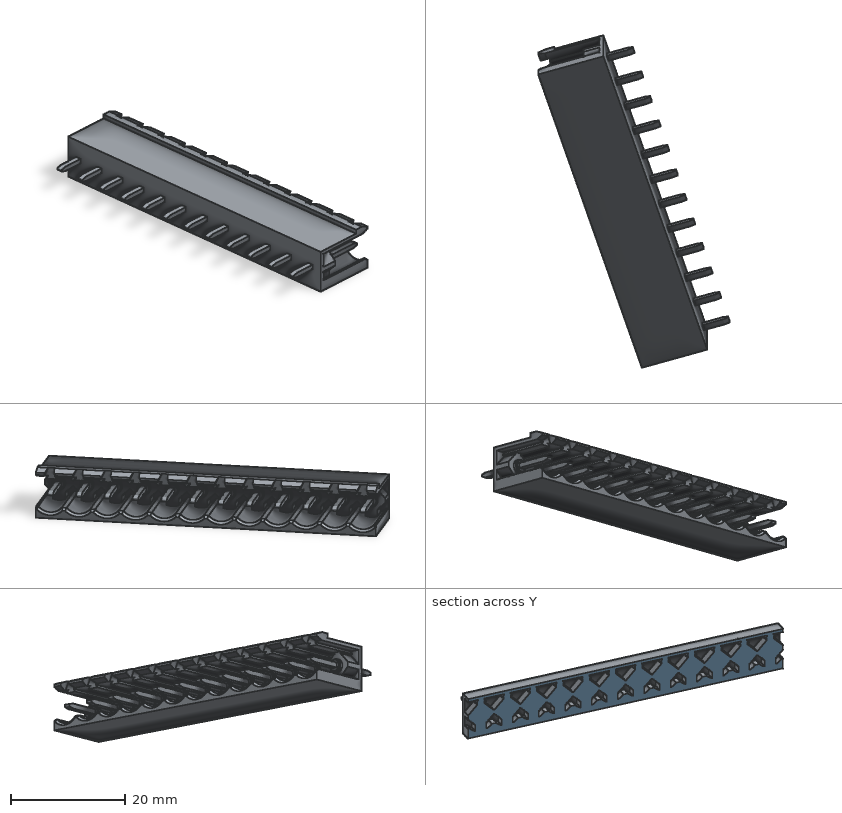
import cadquery as cq
import math


LENGTH = 60.85
DEPTH = 12.0
BACK_WALL = 0.75
FLOOR_Z = 2.0
CEILING_Z = 7.3
TOP_Z = 8.0
FLOOR_LEAD_IN = 0.45

LATCH_TOP_Z = 8.8
LATCH_DEPTH = 2.95
LATCH_NOSE_BOTTOM_Z = 7.84
LATCH_NOSE_TOP_Z = 8.26
LATCH_TOP_BEVEL = 1.45
LATCH_BOTTOM_BEVEL = 1.25

PIN_COUNT = 12
PITCH = 5.08
PIN_WIDTH = 1.05
PIN_HEIGHT = 0.9
PIN_Z = 4.23
PIN_TAIL = 4.8
PIN_FRONT_GAP = 0.6
PIN_TAPER_LENGTH = 0.95
PIN_TAPER_ANGLE = 15.0
PIN_TIP_ROUND = 0.15

COLLAR_RADIUS = 1.2
COLLAR_THICKNESS = 0.7
COLLAR_CHAMFER = 0.2

WEB_FRONT_Y = 3.7
WEB_WAIST_HEIGHT = 0.8
LOWER_STEM_HALF_WIDTH = 1.1
UPPER_STEM_HALF_WIDTH = 0.7

CHANNEL_RADIUS = 2.8
CHANNEL_AXIS_Z = 3.85

RIB_BOTTOM_Z = 6.75
RIB_BOTTOM_HALF_WIDTH = 1.0
RIB_FLANK_ANGLE = 36.0
NOTCH_DEPTH = 1.68
NOTCH_TOP_HALF_WIDTH = 0.56
NOTCH_FLANK_ANGLE = 25.0

OVERLAP = 0.1

PIN_POSITIONS = [(i - (PIN_COUNT - 1) / 2) * PITCH for i in range(PIN_COUNT)]


def tan_deg(angle):
    return math.tan(math.radians(angle))


def extrude_along_y(outline, y_start, y_end):
    """Extrude a closed XZ outline from y_start to y_end."""
    plane = cq.Workplane("XZ", origin=(0, y_start, 0))
    return plane.polyline(outline).close().extrude(y_start - y_end)


def mirrored_outline(right_side):
    """Close a list of right-hand (x, z) points with its mirror image about x = 0."""
    left_side = [(-x, z) for x, z in reversed(right_side)]
    return right_side + left_side


def at_every_pin(shape):
    """Repeat a shape centred on x = 0 at each pin."""
    copies = cq.Workplane("XY")
    for x in PIN_POSITIONS:
        copies = copies.add(shape.translate((x, 0, 0)).vals())
    return copies.combine()


def housing_shell():
    """C-shaped section with the latch hook, open at both ends."""
    outline = [
        (0, 0),
        (DEPTH, 0),
        (DEPTH, FLOOR_Z),
        (BACK_WALL, FLOOR_Z),
        (BACK_WALL, CEILING_Z),
        (DEPTH - LATCH_BOTTOM_BEVEL, CEILING_Z),
        (DEPTH, LATCH_NOSE_BOTTOM_Z),
        (DEPTH, LATCH_NOSE_TOP_Z),
        (DEPTH - LATCH_TOP_BEVEL, LATCH_TOP_Z),
        (DEPTH - LATCH_DEPTH, LATCH_TOP_Z),
        (DEPTH - LATCH_DEPTH, TOP_Z),
        (0, TOP_Z),
    ]
    plane = cq.Workplane("YZ", origin=(-LENGTH / 2, 0, 0))
    return plane.polyline(outline).close().extrude(LENGTH)


def floor_channel():
    """Round channel under a pin, flared at the front to meet the floor lead-in."""
    axis_plane = cq.Workplane("XZ", origin=(0, BACK_WALL, CHANNEL_AXIS_Z))
    channel = axis_plane.circle(CHANNEL_RADIUS).extrude(BACK_WALL - DEPTH)
    front_radius = CHANNEL_RADIUS + FLOOR_LEAD_IN
    flare = cq.Solid.makeCone(
        front_radius,
        CHANNEL_RADIUS,
        FLOOR_LEAD_IN,
        pnt=cq.Vector(0, DEPTH, CHANNEL_AXIS_Z),
        dir=cq.Vector(0, -1, 0),
    )
    zone_height = FLOOR_Z + OVERLAP
    floor_zone = cq.Workplane("XY").box(PITCH * 2, DEPTH * 2, zone_height, centered=(True, True, False))
    return channel.union(cq.Workplane(flare)).intersect(floor_zone)


def floor_lead_in():
    """Chamfer along the front edge of the flat floor between the channels."""
    outline = [
        (DEPTH - FLOOR_LEAD_IN, FLOOR_Z),
        (DEPTH, FLOOR_Z - FLOOR_LEAD_IN),
        (DEPTH, FLOOR_Z),
    ]
    plane = cq.Workplane("YZ", origin=(-LENGTH / 2, 0, 0))
    return plane.polyline(outline).close().extrude(LENGTH)


def latch_notch():
    """Notch through the latch above a pin, narrowing upwards."""
    drop = LATCH_TOP_Z - RIB_BOTTOM_Z
    bottom_half_width = NOTCH_TOP_HALF_WIDTH + drop * tan_deg(NOTCH_FLANK_ANGLE)
    outline = mirrored_outline([(bottom_half_width, RIB_BOTTOM_Z), (NOTCH_TOP_HALF_WIDTH, LATCH_TOP_Z)])
    return extrude_along_y(outline, DEPTH - NOTCH_DEPTH, DEPTH)


def ceiling_rib():
    """Dovetail rib hanging from the ceiling, wider at its lower face."""
    top_z = CEILING_Z + OVERLAP
    top_half_width = RIB_BOTTOM_HALF_WIDTH - (top_z - RIB_BOTTOM_Z) * tan_deg(RIB_FLANK_ANGLE)
    outline = mirrored_outline([(RIB_BOTTOM_HALF_WIDTH, RIB_BOTTOM_Z), (top_half_width, top_z)])
    return extrude_along_y(outline, BACK_WALL - OVERLAP, DEPTH - NOTCH_DEPTH)


def web_section():
    """One pitch of the support web: stems above and below, 45 degree shoulders between."""
    waist = PITCH / 2
    waist_bottom_z = PIN_Z - WEB_WAIST_HEIGHT / 2
    waist_top_z = PIN_Z + WEB_WAIST_HEIGHT / 2
    shoulder_bottom_z = waist_bottom_z - (waist - LOWER_STEM_HALF_WIDTH)
    shoulder_top_z = waist_top_z + (waist - UPPER_STEM_HALF_WIDTH)
    stem_bottom_z = CHANNEL_AXIS_Z - CHANNEL_RADIUS - OVERLAP
    outline = mirrored_outline([
        (LOWER_STEM_HALF_WIDTH, stem_bottom_z),
        (LOWER_STEM_HALF_WIDTH, shoulder_bottom_z),
        (waist, waist_bottom_z),
        (waist, waist_top_z),
        (UPPER_STEM_HALF_WIDTH, shoulder_top_z),
        (UPPER_STEM_HALF_WIDTH, RIB_BOTTOM_Z + OVERLAP),
    ])
    return extrude_along_y(outline, BACK_WALL - OVERLAP, WEB_FRONT_Y)


def pin():
    """Flat pin, tapered in height and rounded at both tips."""
    y_tail = -PIN_TAIL
    y_front = DEPTH - PIN_FRONT_GAP
    half_height = PIN_HEIGHT / 2
    tip_half_height = half_height - PIN_TAPER_LENGTH * tan_deg(PIN_TAPER_ANGLE)
    outline = [
        (y_tail, PIN_Z - tip_half_height),
        (y_tail + PIN_TAPER_LENGTH, PIN_Z - half_height),
        (y_front - PIN_TAPER_LENGTH, PIN_Z - half_height),
        (y_front, PIN_Z - tip_half_height),
        (y_front, PIN_Z + tip_half_height),
        (y_front - PIN_TAPER_LENGTH, PIN_Z + half_height),
        (y_tail + PIN_TAPER_LENGTH, PIN_Z + half_height),
        (y_tail, PIN_Z + tip_half_height),
    ]
    plane = cq.Workplane("YZ", origin=(-PIN_WIDTH / 2, 0, 0))
    blank = plane.polyline(outline).close().extrude(PIN_WIDTH)
    return blank.faces("<Y or >Y").edges("|X").fillet(PIN_TIP_ROUND)


def collar():
    """Round collar standing on the front of the web."""
    plane = cq.Workplane("XZ", origin=(0, WEB_FRONT_Y - OVERLAP, PIN_Z))
    disc = plane.circle(COLLAR_RADIUS).extrude(-(COLLAR_THICKNESS + OVERLAP))
    return disc.faces(">Y").chamfer(COLLAR_CHAMFER)


def support_web():
    """The web sections of all pins, trimmed flush with the housing ends."""
    end_trim = cq.Workplane("XY").box(LENGTH, DEPTH * 2, LATCH_TOP_Z * 2)
    return at_every_pin(web_section()).intersect(end_trim)


housing = housing_shell()
housing = housing.cut(floor_lead_in())
housing = housing.cut(at_every_pin(floor_channel()))
housing = housing.cut(at_every_pin(latch_notch()))
housing = housing.union(support_web())
housing = housing.union(at_every_pin(ceiling_rib()))
housing = housing.union(at_every_pin(collar()))
result = housing.union(at_every_pin(pin()))